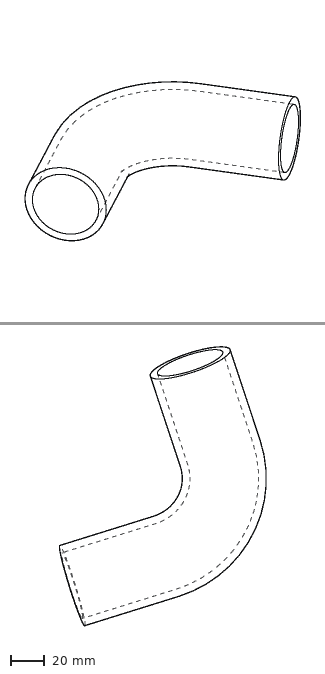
import cadquery as cq

overall_length = 133.5
outer_diameter = 50.0
inner_diameter = 40.9
bend_radius = outer_diameter

leg_length = overall_length - bend_radius - outer_diameter / 2

centreline = (
    cq.Workplane("XY")
    .moveTo(-bend_radius, -leg_length)
    .lineTo(-bend_radius, 0)
    .radiusArc((0, bend_radius), bend_radius)
    .lineTo(leg_length, bend_radius)
)

result = (
    cq.Workplane("XZ", origin=(-bend_radius, -leg_length, 0))
    .circle(outer_diameter / 2)
    .circle(inner_diameter / 2)
    .sweep(centreline)
)